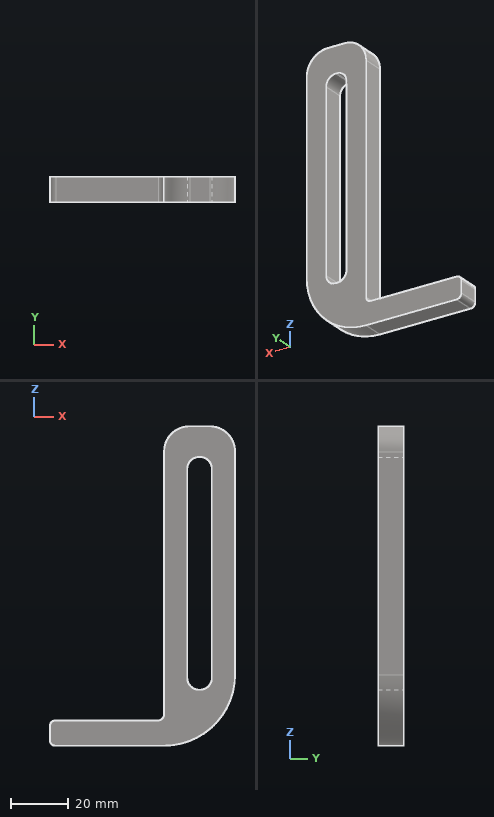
import cadquery as cq

length = 65.0
thickness = 9.0
height = 112.0

upright_width = 25.0
foot_height = 9.0

bend_radius = upright_width
top_radius = 9.0
small_radius = 2.0

slot_width = 8.5
slot_length = 81.4
slot_bottom = 19.7
slot_corner_radius = 4.0

upright_left = length - upright_width


def corner(solid, x, z, radius):
    """Round the through-thickness edge at one corner of the outline."""
    edge_middle = (x, thickness / 2, z)
    return solid.edges(cq.selectors.NearestToPointSelector(edge_middle)).fillet(radius)


def bracket_body():
    """L-shaped plate with its foot pointing to -X."""
    foot = cq.Workplane("XY").box(length, thickness, foot_height, centered=False)
    upright = (
        cq.Workplane("XY")
        .box(upright_width, thickness, height, centered=False)
        .translate((upright_left, 0, 0))
    )
    body = foot.union(upright).clean()
    corners = [
        (0, 0, small_radius),
        (0, foot_height, small_radius),
        (upright_left, foot_height, small_radius),
        (upright_left, height, top_radius),
        (length, height, top_radius),
        (length, 0, bend_radius),
    ]
    for x, z, radius in corners:
        body = corner(body, x, z, radius)
    return body


def slot_cutter():
    """Upright slot through the full thickness, with a short flat at each end."""
    return (
        cq.Workplane("XY")
        .box(slot_width, thickness, slot_length, centered=(True, False, False))
        .edges("|Y")
        .fillet(slot_corner_radius)
        .translate((length - upright_width / 2, 0, slot_bottom))
    )


result = bracket_body().cut(slot_cutter())